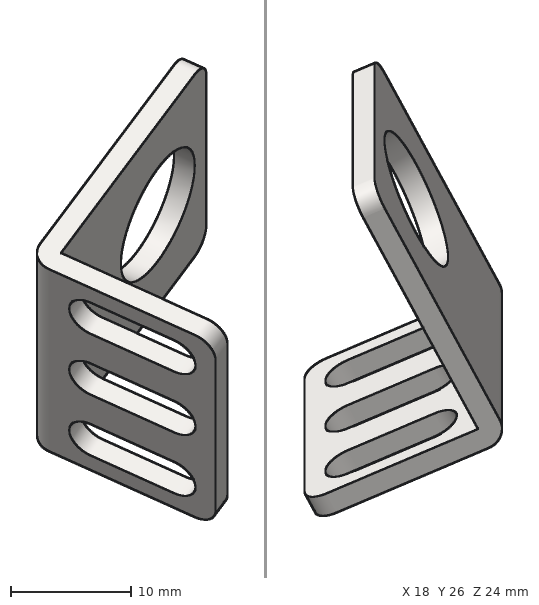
import cadquery as cq

width = 18.0
depth = 26.0
height = 24.0
thickness = 2.0
corner_radius = thickness
bend_radius = thickness

hole_diameter = 12.2
hole_to_free_edge = 8.0

slot_count = 3
slot_length = 12.12
slot_width = 4.1
slot_pitch = 8.0
slot_center_x = 10.0


def bent_sheet():
    """L-shaped sheet with a rounded outer bend and rounded free corners."""
    long_leg = cq.Workplane("XY").box(thickness, depth, height, centered=(False, False, True))
    long_leg = long_leg.faces(">Y").edges("|X").fillet(corner_radius)
    short_leg = cq.Workplane("XY").box(width, thickness, height, centered=(False, False, True))
    short_leg = short_leg.faces(">X").edges("|Y").fillet(corner_radius)
    bend_block = cq.Workplane("XY").box(bend_radius, bend_radius, height, centered=(False, False, True))
    bend_round = (
        cq.Workplane("XY", origin=(bend_radius, bend_radius, -height / 2))
        .circle(bend_radius)
        .extrude(height)
    )
    return long_leg.union(short_leg).cut(bend_block.cut(bend_round))


def round_hole():
    """Cutter through the long leg, centred in its height."""
    return (
        cq.Workplane("YZ")
        .center(depth - hole_to_free_edge, 0)
        .circle(hole_diameter / 2)
        .extrude(thickness)
    )


def slots():
    """Cutters for the evenly stacked slots through the short leg."""
    return (
        cq.Workplane("XZ")
        .center(slot_center_x, 0)
        .rarray(0.25, slot_pitch, 1, slot_count)
        .slot2D(slot_length, slot_width)
        .extrude(-thickness)
    )


result = bent_sheet().cut(round_hole()).cut(slots())